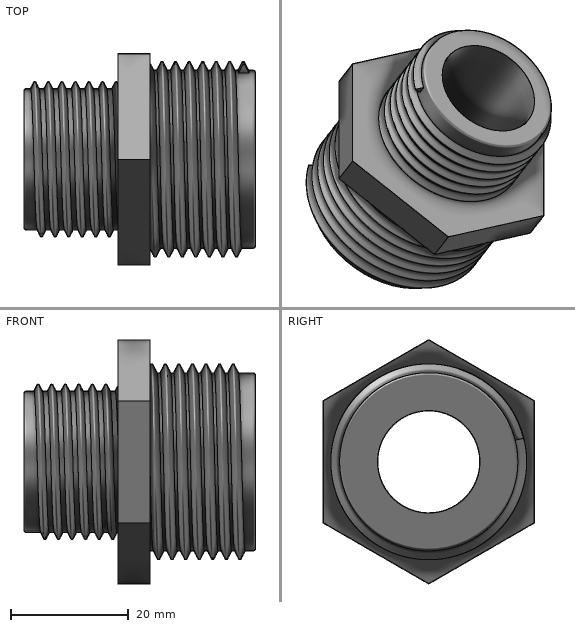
import cadquery as cq
import math

hex_corner_span = 41.55
hex_width = 5.5
bore_radius = 8.7
end_rounding = 0.5

small_length = 16.0
small_root_radius = 12.05
small_crest_radius = 13.2
large_length = 18.0
large_root_radius = 15.17
large_crest_radius = 16.65

hex_end = small_length + hex_width
total_length = hex_end + large_length

pitch = 2.307
turns = 7.5
flank_angle = 27.5
crest_half_width = 0.2
crest_rise = 0.15
root_overlap = 0.12
overrun_angle = 14.0
small_thread_start = 1.85
large_thread_end = 37.37


def neck(x_from, x_to, radius, end_face):
    """Cylinder along X with its outer end edge rounded."""
    body = cq.Workplane("YZ", origin=(x_from, 0, 0)).circle(radius).extrude(x_to - x_from)
    return body.faces(end_face).edges().fillet(end_rounding)


def thread(root_radius, crest_radius, x_start, start_angle):
    """Right-handed ridge along X; start_angle is measured from +Y towards +Z."""
    base_radius = root_radius - root_overlap
    shoulder_radius = crest_radius - crest_rise
    flank_run = (shoulder_radius - base_radius) * math.tan(math.radians(flank_angle))
    base_half_width = crest_half_width + flank_run

    helix = cq.Wire.makeHelix(pitch, pitch * turns, base_radius)
    ridge = (
        cq.Workplane("XZ")
        .moveTo(base_radius, -base_half_width)
        .lineTo(shoulder_radius, -crest_half_width)
        .threePointArc((crest_radius, 0), (shoulder_radius, crest_half_width))
        .lineTo(base_radius, base_half_width)
        .close()
        .sweep(cq.Workplane(obj=helix), isFrenet=True)
    )
    ridge = ridge.rotate((0, 0, 0), (0, 1, 0), 90)
    ridge = ridge.rotate((0, 0, 0), (1, 0, 0), 90 + start_angle)
    return ridge.translate((x_start, 0, 0))


hexagon = (
    cq.Workplane("YZ", origin=(small_length, 0, 0))
    .polygon(6, hex_corner_span)
    .extrude(hex_width)
    .rotate((0, 0, 0), (1, 0, 0), 90)
)
small_neck = neck(0, hex_end, small_root_radius, "<X")
large_neck = neck(hex_end, total_length, large_root_radius, ">X")

overrun_advance = pitch * overrun_angle / 360
small_thread = thread(
    small_root_radius,
    small_crest_radius,
    small_thread_start - overrun_advance,
    -overrun_angle,
)
large_thread = thread(
    large_root_radius,
    large_crest_radius,
    large_thread_end + overrun_advance - pitch * turns,
    overrun_angle - 360 * turns,
)

bore = cq.Workplane("YZ").circle(bore_radius).extrude(total_length)

result = (
    small_neck.union(small_thread)
    .union(hexagon)
    .union(large_neck)
    .union(large_thread)
    .cut(bore)
)